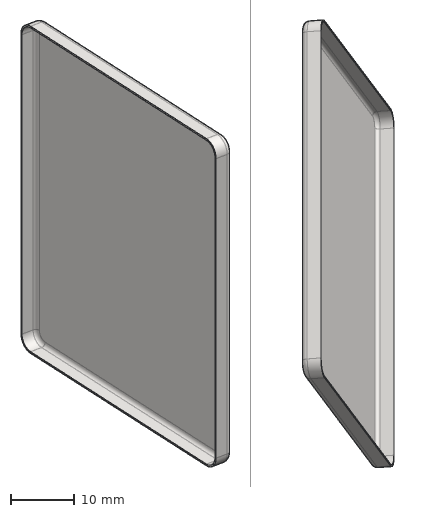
import cadquery as cq

width = 50.4
depth = 3.2
height = 59.5

corner_radius = 2.5
back_edge_radius = 1.0
wall = 0.3
inner_edge_radius = back_edge_radius - wall


def rounded_block(block_width, block_depth, block_height, side_radius, back_radius):
    """Block from Y = 0 to +Y with rounded corners and a rounded back edge."""
    block = cq.Workplane("XY").box(
        block_width, block_depth, block_height, centered=(True, False, True)
    )
    block = block.edges("|Y").fillet(side_radius)
    return block.faces(">Y").edges().fillet(back_radius)


shell = rounded_block(width, depth, height, corner_radius, back_edge_radius)
cavity = rounded_block(
    width - 2 * wall,
    depth - wall,
    height - 2 * wall,
    corner_radius - wall,
    inner_edge_radius,
)

result = shell.cut(cavity)